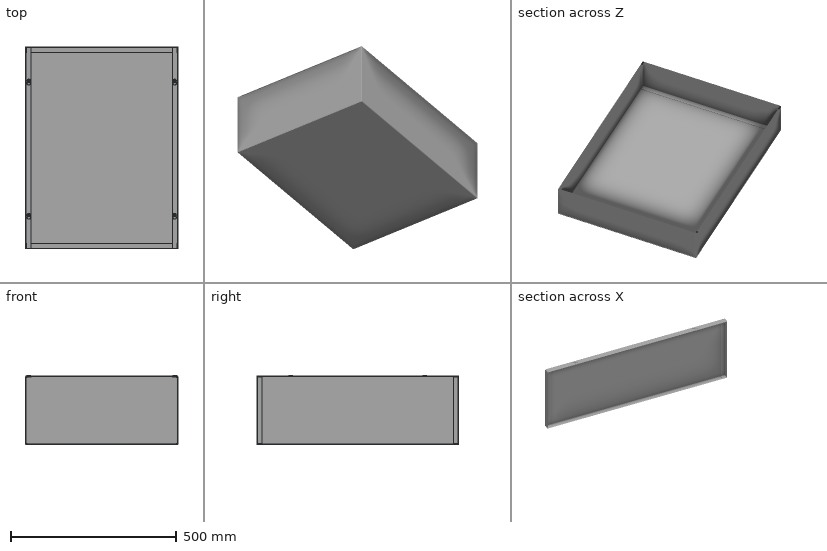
import cadquery as cq

WIDTH = 460.0
LENGTH = 609.5
HEIGHT = 209.0

SHEET = 1.5
BEND_RADIUS = 2.15
INNER_BEND_RADIUS = BEND_RADIUS - SHEET
FLANGE_WIDTH = 16.0
COVER_SIDE_INSET = 1.0

HEAD_DIAMETER = 10.0
HEAD_TOP_DIAMETER = 7.5
HEAD_HEIGHT = 2.5
HEAD_EDGE = (HEAD_DIAMETER - HEAD_TOP_DIAMETER) / 2
SOCKET_DIAMETER = 3.7
SOCKET_DEPTH = 1.0
SHANK_DIAMETER = 3.7
SHANK_LENGTH = 7.5
SCREW_X = 220.5
SCREW_Y = 203.0
SCREW_PLACES = [(x, y) for x in (-SCREW_X, SCREW_X) for y in (-SCREW_Y, SCREW_Y)]

ENTRY_DIAMETER = 10.5
ENTRY_OFFSET = 7.5
SLOT_WIDTH = 4.15

COVER_TOP = HEIGHT - HEAD_HEIGHT
WRAP_TOP = COVER_TOP - SHEET
INNER_TOP = WRAP_TOP - SHEET

INNER_WIDTH = WIDTH - 2 * SHEET
OPENING_WIDTH = WIDTH - 2 * FLANGE_WIDTH


def block(width, length, bottom, top):
    """Box centred on X and Y, between two levels."""
    base = cq.Workplane("XY", origin=(0, 0, bottom))
    return base.box(width, length, top - bottom, centered=(True, True, False))


def make_interior():
    """The space inside the wrap, with the long opening between its two top flanges."""
    room = block(INNER_WIDTH, LENGTH, SHEET, INNER_TOP).edges("|Y").fillet(INNER_BEND_RADIUS)
    opening = block(OPENING_WIDTH, LENGTH, INNER_TOP - SHEET, WRAP_TOP)
    return room.union(opening)


def make_wrap(interior):
    """Floor, two sides and two top flanges bent from one sheet, open at both ends."""
    wrap = block(WIDTH, LENGTH, 0, WRAP_TOP).edges("|Y").fillet(BEND_RADIUS)
    screw_holes = (
        cq.Workplane("XY", origin=(0, 0, INNER_TOP))
        .pushPoints(SCREW_PLACES)
        .circle(SHANK_DIAMETER / 2)
        .extrude(SHEET)
    )
    return wrap.cut(interior).cut(screw_holes)


def make_front_panel(interior):
    """End panel with a flange bent back along each edge, fitted to the inside of the wrap."""
    front = -LENGTH / 2
    tray = (
        block(INNER_WIDTH, FLANGE_WIDTH, SHEET, WRAP_TOP)
        .translate((0, front + FLANGE_WIDTH / 2, 0))
        .faces("<Y")
        .edges()
        .fillet(BEND_RADIUS)
    )
    cavity = (
        block(INNER_WIDTH - 2 * SHEET, FLANGE_WIDTH, 2 * SHEET, INNER_TOP)
        .translate((0, front + SHEET + FLANGE_WIDTH / 2, 0))
        .faces("<Y")
        .edges()
        .fillet(INNER_BEND_RADIUS)
    )
    return tray.cut(cavity).intersect(interior)


def make_cover():
    """Flat cover resting on the flanges, with a keyhole at each screw."""
    cover = block(WIDTH - 2 * COVER_SIDE_INSET, LENGTH, WRAP_TOP, COVER_TOP)
    for x, y in SCREW_PLACES:
        base = cq.Workplane("XY", origin=(x, y, WRAP_TOP))
        seat = base.circle(SLOT_WIDTH / 2).extrude(SHEET)
        slot = base.center(0, -ENTRY_OFFSET / 2).rect(SLOT_WIDTH, ENTRY_OFFSET).extrude(SHEET)
        entry = base.center(0, -ENTRY_OFFSET).circle(ENTRY_DIAMETER / 2).extrude(SHEET)
        cover = cover.cut(seat.union(slot).union(entry))
    return cover


def make_screw(x, y):
    """Round-edged screw with a driver socket, its head resting on the cover."""
    base = cq.Workplane("XY", origin=(x, y, COVER_TOP))
    head = base.circle(HEAD_DIAMETER / 2).extrude(HEAD_HEIGHT).faces(">Z").edges().fillet(HEAD_EDGE)
    shank = base.circle(SHANK_DIAMETER / 2).extrude(-SHANK_LENGTH)
    socket = cq.Workplane("XY", origin=(x, y, HEIGHT)).circle(SOCKET_DIAMETER / 2).extrude(-SOCKET_DEPTH)
    return head.union(shank).cut(socket)


interior = make_interior()
wrap = make_wrap(interior)
front_panel = make_front_panel(interior)
rear_panel = front_panel.mirror("XZ")
cover = make_cover()
screws = [make_screw(x, y) for x, y in SCREW_PLACES]

result = cq.Compound.makeCompound(
    [
        wrap.val(),
        front_panel.val(),
        rear_panel.val(),
        cover.val(),
        *[screw.val() for screw in screws],
    ]
)